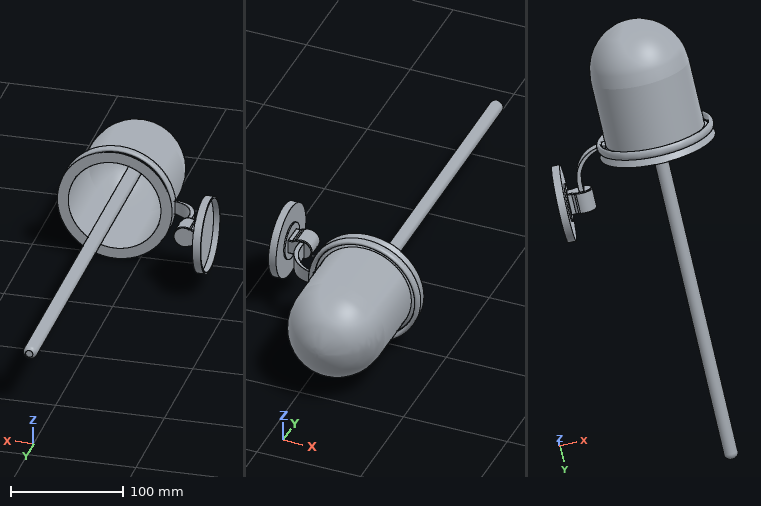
import cadquery as cq
import math


cup_diameter = 90.5
cup_radius = cup_diameter / 2
cup_bottom_y = -119.3
dome_start_y = -72.2
cup_wall = 2.5
mouth_radius = 53.0
flare_base_radius = 48.7
flare_base_y = -8.0
shoulder_y = -11.0

ring_outer_diameter = 107.0
ring_outer_radius = ring_outer_diameter / 2
ring_inner_radius = flare_base_radius
ring_top_y = -6.7
ring_height = 8.0

handle_diameter = 13.0
handle_radius = handle_diameter / 2
handle_top_y = 300.7
handle_tip_length = 6.5
handle_tip_radius = 3.5

overall_width = 150.8
wall_x = ring_outer_radius - overall_width
plate_depth = 7.5
plate_diameter = 70.0
plate_radius = plate_diameter / 2
plate_wall = 1.5
mount_y = 35.0

rosette_radius = 17.2
rosette_thickness = 1.3
boss_x = -75.5
boss_radius = 10.0
boss_height = 20.0
neck_width = 14.3
neck_flare_start_x = -84.5
neck_flare_end_x = -82.0
neck_flare_width = 17.5
mount_chamfer = 1.0

arm_bend_y = 17.2
arm_outer_x = -77.3
arm_bend_radius = 29.5
arm_top_thickness = 4.0
arm_end_thickness = 2.0
arm_top_width = 17.0
arm_end_width = 12.5

plate_front_x = wall_x + plate_depth
boss_bottom_y = mount_y - boss_height / 2
arm_bottom_y = arm_bend_y - arm_bend_radius
DIAGONAL = math.sqrt(0.5)


def revolve_about_y(profile):
    return profile.close().revolve(360, (0, 0, 0), (0, 1, 0))


def disc_along_x(start_x, length, radius):
    return cq.Workplane("YZ", origin=(start_x, mount_y, 0)).circle(radius).extrude(length)


def domed_solid(radius, bottom_y):
    """Round bar from the mouth plane down to an elliptical dome."""
    depth = dome_start_y - bottom_y
    return revolve_about_y(
        cq.Workplane("XY")
        .moveTo(0, 0)
        .lineTo(radius, 0)
        .lineTo(radius, dome_start_y)
        .ellipseArc(radius, depth, 270, 360, startAtCurrent=True, sense=-1)
    )


def make_cup_envelope():
    flare = revolve_about_y(
        cq.Workplane("XY")
        .moveTo(0, 0)
        .lineTo(mouth_radius, 0)
        .lineTo(flare_base_radius, flare_base_y)
        .lineTo(cup_radius, shoulder_y)
        .lineTo(0, shoulder_y)
    )
    return domed_solid(cup_radius, cup_bottom_y).union(flare)


def make_cup():
    cavity = domed_solid(cup_radius - cup_wall, cup_bottom_y + cup_wall)
    return make_cup_envelope().cut(cavity)


def make_handle():
    foot_y = cup_bottom_y + cup_wall
    shoulder = handle_top_y - handle_tip_length
    middle_radius = handle_tip_radius + (handle_radius - handle_tip_radius) * DIAGONAL
    middle_y = shoulder + handle_tip_length * DIAGONAL
    return revolve_about_y(
        cq.Workplane("XY")
        .moveTo(0, foot_y)
        .threePointArc(
            (handle_radius * DIAGONAL, foot_y + handle_radius * (1 - DIAGONAL)),
            (handle_radius, foot_y + handle_radius),
        )
        .lineTo(handle_radius, shoulder)
        .threePointArc((middle_radius, middle_y), (handle_tip_radius, handle_top_y))
        .lineTo(0, handle_top_y)
    )


def make_arm():
    inner_x = arm_outer_x + arm_top_thickness
    inner_radius = arm_bend_radius - arm_end_thickness
    outer_center_x = arm_outer_x + arm_bend_radius
    inner_center_x = inner_x + inner_radius
    strip = (
        cq.Workplane("XY")
        .moveTo(arm_outer_x, boss_bottom_y)
        .lineTo(arm_outer_x, arm_bend_y)
        .threePointArc(
            (outer_center_x - arm_bend_radius * DIAGONAL, arm_bend_y - arm_bend_radius * DIAGONAL),
            (outer_center_x, arm_bottom_y),
        )
        .lineTo(-cup_radius, arm_bottom_y)
        .lineTo(-cup_radius, arm_bottom_y + arm_end_thickness)
        .lineTo(inner_center_x, arm_bottom_y + arm_end_thickness)
        .threePointArc(
            (inner_center_x - inner_radius * DIAGONAL, arm_bend_y - inner_radius * DIAGONAL),
            (inner_x, arm_bend_y),
        )
        .lineTo(inner_x, boss_bottom_y)
        .close()
        .extrude(arm_top_width / 2, both=True)
    )
    plan = (
        cq.Workplane("XZ", origin=(0, boss_bottom_y, 0))
        .moveTo(arm_outer_x, arm_top_width / 2)
        .lineTo(-ring_outer_radius, arm_end_width / 2)
        .lineTo(-cup_radius, arm_end_width / 2)
        .lineTo(-cup_radius, -arm_end_width / 2)
        .lineTo(-ring_outer_radius, -arm_end_width / 2)
        .lineTo(arm_outer_x, -arm_top_width / 2)
        .close()
        .extrude(boss_bottom_y - arm_bottom_y)
    )
    return strip.intersect(plan).cut(make_cup_envelope())


def make_ring(arm):
    half_width = (ring_outer_radius - ring_inner_radius) / 2
    half_height = ring_height / 2
    band = (
        cq.Workplane("XY")
        .moveTo(ring_inner_radius + half_width, ring_top_y - half_height)
        .ellipse(half_width, half_height)
        .revolve(360, (0, 0, 0), (0, 1, 0))
    )
    return band.cut(arm)


def make_plate():
    recess = disc_along_x(wall_x, plate_depth - plate_wall, plate_radius - plate_wall)
    return disc_along_x(wall_x, plate_depth, plate_radius).cut(recess)


def make_mount():
    rosette = disc_along_x(plate_front_x, rosette_thickness, rosette_radius)
    top = cq.Workplane("XZ", origin=(0, mount_y + boss_height / 2, 0))
    boss = top.center(boss_x, 0).circle(boss_radius).extrude(boss_height)
    neck = (
        top.moveTo(plate_front_x, neck_width / 2)
        .lineTo(neck_flare_start_x, neck_width / 2)
        .lineTo(neck_flare_end_x, neck_flare_width / 2)
        .lineTo(boss_x, neck_flare_width / 2)
        .lineTo(boss_x, -neck_flare_width / 2)
        .lineTo(neck_flare_end_x, -neck_flare_width / 2)
        .lineTo(neck_flare_start_x, -neck_width / 2)
        .lineTo(plate_front_x, -neck_width / 2)
        .close()
        .extrude(boss_height)
    )
    block = boss.union(neck).faces("<Y or >Y").chamfer(mount_chamfer)
    return rosette.union(block)


cup = make_cup()
handle = make_handle()
arm = make_arm()
ring = make_ring(arm)
plate = make_plate()
mount = make_mount()

result = cq.Compound.makeCompound(
    [cup.val(), handle.val(), arm.val(), ring.val(), plate.val(), mount.val()]
)